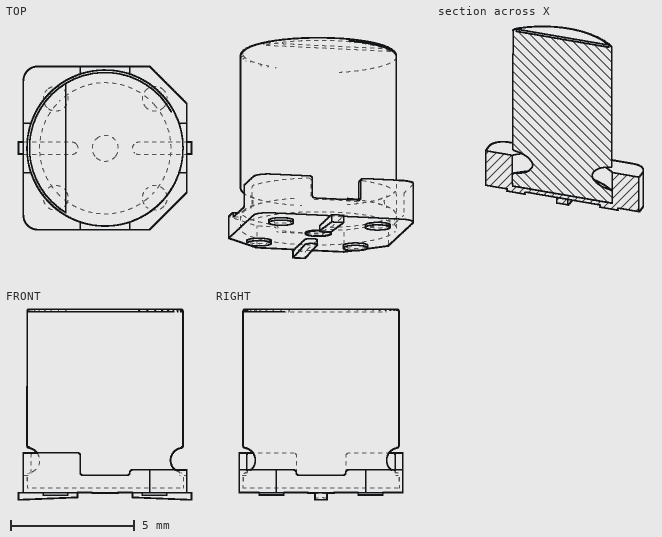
import cadquery as cq
import math


total_height = 7.7
lead_span = 7.0

lead_width = 0.5
lead_outer_thickness = 0.3
lead_inner_thickness = 0.2
lead_inner_x = 1.1

base_size = 6.6
post_height = 1.6
low_corner_height = 0.91
notch_floor_height = 0.7
seat_floor_thickness = 0.2
base_bottom_z = lead_outer_thickness
post_top_z = base_bottom_z + post_height
low_top_z = base_bottom_z + low_corner_height
notch_floor_z = base_bottom_z + notch_floor_height
notch_width = 2.0
notch_edge_radius = 0.1
corner_radius = 0.6
corner_chamfer = 1.5
foot_diameter = 1.0
foot_height = 0.1
foot_offset = 2.0
gate_diameter = 1.05
gate_height = 0.03

can_radius = 6.3 / 2
can_bottom_z = base_bottom_z + seat_floor_thickness
can_top_fillet = 0.1
belt_radius = 0.5
belt_z = 1.6
belt_edge_fillet = 0.1

mark_radius = can_radius - can_top_fillet
mark_edge_x = -can_radius / 2
mark_depth = 0.1


def corner_ridge(top_z):
    """Long ridge along Y: notch floor next to X = 0, then a rounded step up to the corner top."""
    half_size = base_size / 2
    wall_x = notch_width / 2
    r = notch_edge_radius
    inset = r * (1 - math.sqrt(0.5))
    return (
        cq.Workplane("XZ")
        .moveTo(0, base_bottom_z)
        .lineTo(0, notch_floor_z)
        .lineTo(wall_x - r, notch_floor_z)
        .threePointArc((wall_x - inset, notch_floor_z + inset), (wall_x, notch_floor_z + r))
        .lineTo(wall_x, top_z - r)
        .threePointArc((wall_x + inset, top_z - inset), (wall_x + r, top_z))
        .lineTo(half_size, top_z)
        .lineTo(half_size, base_bottom_z)
        .close()
        .extrude(half_size, both=True)
    )


def base_quarter(top_z):
    """Quarter of the base in the +X +Y quadrant, with its raised corner between two notches."""
    ridge = corner_ridge(top_z)
    crossing_ridge = ridge.mirror("YZ").rotate((0, 0, 0), (0, 0, 1), -90)
    return ridge.intersect(crossing_ridge)


def bottom_discs(diameter, height, points):
    """Discs under the base, hanging down from its bottom face."""
    return (
        cq.Workplane("XY", origin=(0, 0, base_bottom_z))
        .pushPoints(points)
        .circle(diameter / 2)
        .extrude(-height)
    )


def make_base():
    """Plastic base: two low chamfered corners at +X, two tall rounded corners at -X."""
    corner_tops = [low_top_z, post_top_z, post_top_z, low_top_z]
    base = cq.Workplane("XY")
    for index, top_z in enumerate(corner_tops):
        quarter = base_quarter(top_z).rotate((0, 0, 0), (0, 0, 1), 90 * index)
        base = base.union(quarter)

    outline = (
        cq.Workplane("XY", origin=(0, 0, base_bottom_z))
        .rect(base_size, base_size)
        .extrude(post_top_z - base_bottom_z)
    )
    outline = outline.edges("|Z and <X").fillet(corner_radius)
    outline = outline.edges("|Z and >X").chamfer(corner_chamfer)
    base = base.intersect(outline)

    can_seat = (
        cq.Workplane("XY", origin=(0, 0, can_bottom_z))
        .circle(can_radius)
        .extrude(post_top_z - can_bottom_z)
    )
    foot_points = [(x, y) for x in (-foot_offset, foot_offset) for y in (-foot_offset, foot_offset)]
    feet = bottom_discs(foot_diameter, foot_height, foot_points)
    gate = bottom_discs(gate_diameter, gate_height, [(0, 0)])
    return base.cut(can_seat).union(feet).union(gate)


def make_mark():
    """Polarity mark: a thin disc segment on the -X side, flush with the can top."""
    disc = cq.Workplane("XY", origin=(0, 0, total_height)).circle(mark_radius).extrude(-mark_depth)
    segment_side = (
        cq.Workplane("XY", origin=(mark_edge_x, 0, total_height))
        .rect(2 * can_radius, 2 * can_radius)
        .extrude(-mark_depth)
        .translate((-can_radius, 0, 0))
    )
    return disc.intersect(segment_side)


def make_can(mark):
    """Aluminium can with a half-round belt groove and a pocket for the polarity mark."""
    blank = (
        cq.Workplane("XY", origin=(0, 0, can_bottom_z))
        .circle(can_radius)
        .extrude(total_height - can_bottom_z)
        .faces(">Z")
        .edges()
        .fillet(can_top_fillet)
    )
    belt_section = cq.Workplane("XZ").center(can_radius, belt_z).circle(belt_radius)
    belt = belt_section.revolve(360, (-can_radius, 0, 0), (-can_radius, 1, 0))
    can = blank.cut(belt)
    box_reach = 2 * can_radius
    box_half_height = belt_radius + belt_edge_fillet
    belt_edges = cq.selectors.BoxSelector(
        (-box_reach, -box_reach, belt_z - box_half_height),
        (box_reach, box_reach, belt_z + box_half_height),
    )
    can = can.edges(belt_edges).edges("%CIRCLE").fillet(belt_edge_fillet)
    return can.cut(mark)


def make_lead():
    """Lead on the +X side: rounded inner end and an underside that rises towards it."""
    outer_x = lead_span / 2
    round_center_x = lead_inner_x + lead_width / 2
    wedge = (
        cq.Workplane("XZ")
        .moveTo(outer_x, 0)
        .lineTo(outer_x, base_bottom_z)
        .lineTo(lead_inner_x, base_bottom_z)
        .lineTo(lead_inner_x, base_bottom_z - lead_inner_thickness)
        .close()
        .extrude(lead_width, both=True)
    )
    plan = (
        cq.Workplane("XY")
        .moveTo(outer_x, -lead_width / 2)
        .lineTo(outer_x, lead_width / 2)
        .lineTo(round_center_x, lead_width / 2)
        .threePointArc((lead_inner_x, 0), (round_center_x, -lead_width / 2))
        .close()
        .extrude(lead_outer_thickness)
    )
    return wedge.intersect(plan)


base = make_base()
mark = make_mark()
can = make_can(mark)
leads = [make_lead().rotate((0, 0, 0), (0, 0, 1), angle) for angle in (0, 180)]

result = cq.Compound.makeCompound(
    [base.val(), can.val(), mark.val(), *[lead.val() for lead in leads]]
)